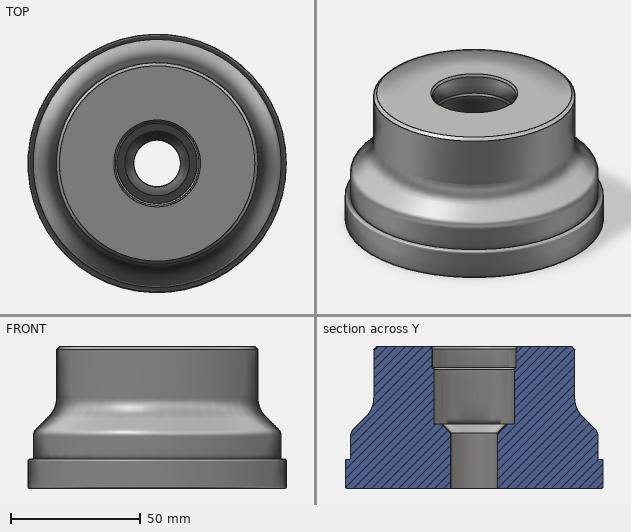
import cadquery as cq
import math

height = 55.0
flange_radius = 50.0
shoulder_radius = 48.0
neck_radius = 39.0

flange_height = 11.4
flange_edge_radius = 0.8

slope = math.radians(45)
neck_arc_start = 35.0
neck_arc_radius = 10.0
shoulder_arc_radius = 4.0
neck_chamfer = 1.2

bore_mouth_radius = 16.2
bore_mouth_chamfer_width = 0.6
bore_mouth_chamfer_height = 1.0
bore_step_depth = 8.1
bore_step_height = 0.8
bore_radius = 15.5
bore_depth = 30.0
countersink_radius = 12.5
through_radius = 9.0


def arc_run(radius, angle):
    """Radial travel of an arc that leaves the vertical by the given angle."""
    return radius * (1 - math.cos(angle))


def arc_drop(radius, angle):
    """Height travelled by the same arc."""
    return radius * math.sin(angle)


def make_body():
    """Revolve the outer outline into a solid without its bore."""
    neck_end_r = neck_radius + arc_run(neck_arc_radius, slope)
    neck_end_z = neck_arc_start - arc_drop(neck_arc_radius, slope)
    neck_mid = (
        neck_radius + arc_run(neck_arc_radius, slope / 2),
        neck_arc_start - arc_drop(neck_arc_radius, slope / 2),
    )

    shoulder_start_r = shoulder_radius - arc_run(shoulder_arc_radius, slope)
    shoulder_start_z = neck_end_z - (shoulder_start_r - neck_end_r) / math.tan(slope)
    shoulder_end_z = shoulder_start_z - arc_drop(shoulder_arc_radius, slope)
    shoulder_mid = (
        shoulder_radius - arc_run(shoulder_arc_radius, slope / 2),
        shoulder_end_z + arc_drop(shoulder_arc_radius, slope / 2),
    )

    edge_inset = arc_run(flange_edge_radius, slope)
    edge_mid_r = flange_radius - edge_inset

    outline = (
        cq.Workplane("XZ")
        .moveTo(0, 0)
        .lineTo(flange_radius - flange_edge_radius, 0)
        .threePointArc((edge_mid_r, edge_inset), (flange_radius, flange_edge_radius))
        .lineTo(flange_radius, flange_height - flange_edge_radius)
        .threePointArc(
            (edge_mid_r, flange_height - edge_inset),
            (flange_radius - flange_edge_radius, flange_height),
        )
        .lineTo(shoulder_radius, flange_height)
        .lineTo(shoulder_radius, shoulder_end_z)
        .threePointArc(shoulder_mid, (shoulder_start_r, shoulder_start_z))
        .lineTo(neck_end_r, neck_end_z)
        .threePointArc(neck_mid, (neck_radius, neck_arc_start))
        .lineTo(neck_radius, height - neck_chamfer)
        .lineTo(neck_radius - neck_chamfer, height)
        .lineTo(0, height)
        .close()
    )
    return outline.revolve(360, (0, 0, 0), (0, 1, 0))


def make_bore():
    """Revolve the stepped bore, its countersink and the through hole."""
    step_z = height - bore_step_depth
    floor_z = height - bore_depth
    countersink_depth = countersink_radius - through_radius
    outline = (
        cq.Workplane("XZ")
        .moveTo(0, 0)
        .lineTo(through_radius, 0)
        .lineTo(through_radius, floor_z - countersink_depth)
        .lineTo(countersink_radius, floor_z)
        .lineTo(bore_radius, floor_z)
        .lineTo(bore_radius, step_z - bore_step_height)
        .lineTo(bore_mouth_radius, step_z)
        .lineTo(bore_mouth_radius, height - bore_mouth_chamfer_height)
        .lineTo(bore_mouth_radius + bore_mouth_chamfer_width, height)
        .lineTo(0, height)
        .close()
    )
    return outline.revolve(360, (0, 0, 0), (0, 1, 0))


result = make_body().cut(make_bore())